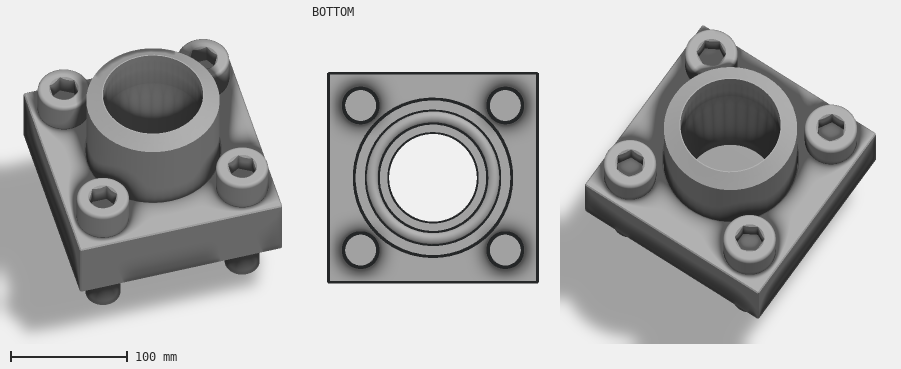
import cadquery as cq
import math

PLATE_SIDE = 180.0
PLATE_THICKNESS = 58.0
PLATE_CHAMFER = 1.0
PLATE_BORE_DIAMETER = 115.5
PLATE_BORE_CHAMFER = 1.0
RECESS_DIAMETER = 136.0
BOLT_HOLE_DIAMETER = 31.0

BOLT_SPACING = 123.8
BOLT_LENGTH = 100.0
SHANK_DIAMETER = 30.0
SHANK_CHAMFER = 1.0
HEAD_DIAMETER = 45.0
HEAD_HEIGHT = SHANK_DIAMETER
HEAD_FILLET = 3.0
SOCKET_ACROSS_CORNERS = 25.4
SOCKET_ACROSS_FLATS = SOCKET_ACROSS_CORNERS * math.cos(math.radians(30))
SOCKET_DEPTH = 18.0

HUB_DIAMETER = 114.3
COLLAR_DIAMETER = 135.0
COLLAR_DEPTH_IN_PLATE = 27.0
COLLAR_PROJECTION = 2.0
COLLAR_CHAMFER = 0.5
HUB_TOP = 175.0
WELD_BEVEL_WIDTH = 13.3
WELD_BEVEL_ANGLE = 30.0
BORE_DIAMETER = 85.9
STRAIGHT_BORE_DEPTH = 37.8
THROAT_DIAMETER = 76.5

RING_CENTRE_DIAMETER = 104.2
RING_THICKNESS = 10.8
RING_PROJECTION = 1.8
GROOVE_INNER_DIAMETER = 92.5
GROOVE_OUTER_DIAMETER = 115.5

PLATE_TOP = BOLT_LENGTH
PLATE_BOTTOM = PLATE_TOP - PLATE_THICKNESS
RECESS_TOP = PLATE_BOTTOM + COLLAR_DEPTH_IN_PLATE
HUB_BOTTOM = PLATE_BOTTOM - COLLAR_PROJECTION
RING_BOTTOM = HUB_BOTTOM - RING_PROJECTION
GROOVE_TOP = RING_BOTTOM + RING_THICKNESS

BOLT_CIRCLE_RADIUS = BOLT_SPACING / math.sqrt(2)
BOLT_ANGLES = (45, 135, 225, 315)


def cylinder(diameter, bottom, top):
    """Upright cylinder on the Z axis between two heights."""
    return cq.Workplane("XY").workplane(offset=bottom).circle(diameter / 2).extrude(top - bottom)


def make_plate():
    """Square plate with a stepped central bore and four bolt holes."""
    plate = (
        cq.Workplane("XY")
        .workplane(offset=PLATE_BOTTOM)
        .rect(PLATE_SIDE, PLATE_SIDE)
        .extrude(PLATE_THICKNESS)
        .edges()
        .chamfer(PLATE_CHAMFER)
    )
    plate = plate.cut(cylinder(RECESS_DIAMETER, PLATE_BOTTOM, RECESS_TOP))
    plate = plate.cut(cylinder(PLATE_BORE_DIAMETER, RECESS_TOP, PLATE_TOP))
    plate = plate.faces(">Z").edges("%CIRCLE").chamfer(PLATE_BORE_CHAMFER)
    bolt_holes = (
        cq.Workplane("XY")
        .workplane(offset=PLATE_BOTTOM)
        .rect(BOLT_SPACING, BOLT_SPACING, forConstruction=True)
        .vertices()
        .circle(BOLT_HOLE_DIAMETER / 2)
        .extrude(PLATE_THICKNESS)
    )
    return plate.cut(bolt_holes)


def make_hub():
    """Welding neck with a bevelled top, a bore that tapers to the throat, a collar and a ring groove."""
    bevel_height = WELD_BEVEL_WIDTH * math.tan(math.radians(WELD_BEVEL_ANGLE))
    profile = [
        (THROAT_DIAMETER / 2, HUB_BOTTOM),
        (GROOVE_INNER_DIAMETER / 2, HUB_BOTTOM),
        (GROOVE_INNER_DIAMETER / 2, GROOVE_TOP),
        (GROOVE_OUTER_DIAMETER / 2, GROOVE_TOP),
        (GROOVE_OUTER_DIAMETER / 2, HUB_BOTTOM),
        (COLLAR_DIAMETER / 2 - COLLAR_CHAMFER, HUB_BOTTOM),
        (COLLAR_DIAMETER / 2, HUB_BOTTOM + COLLAR_CHAMFER),
        (COLLAR_DIAMETER / 2, RECESS_TOP),
        (HUB_DIAMETER / 2, RECESS_TOP),
        (HUB_DIAMETER / 2, HUB_TOP - bevel_height),
        (HUB_DIAMETER / 2 - WELD_BEVEL_WIDTH, HUB_TOP),
        (BORE_DIAMETER / 2, HUB_TOP),
        (BORE_DIAMETER / 2, HUB_TOP - STRAIGHT_BORE_DEPTH),
    ]
    return cq.Workplane("XZ").polyline(profile).close().revolve(360, (0, 0), (0, 1))


def make_ring():
    """Round-section sealing ring resting against the top of its groove."""
    return (
        cq.Workplane("XZ")
        .center(RING_CENTRE_DIAMETER / 2, RING_BOTTOM + RING_THICKNESS / 2)
        .circle(RING_THICKNESS / 2)
        .revolve(360, (-RING_CENTRE_DIAMETER / 2, 0), (-RING_CENTRE_DIAMETER / 2, 1))
    )


def make_bolt(angle):
    """Socket head bolt at one angle of the bolt circle."""
    head_top = PLATE_TOP + HEAD_HEIGHT
    shank = cylinder(SHANK_DIAMETER, 0, PLATE_TOP).faces("<Z").chamfer(SHANK_CHAMFER)
    head = cylinder(HEAD_DIAMETER, PLATE_TOP, head_top).edges().fillet(HEAD_FILLET)
    socket = (
        cq.Workplane("XY")
        .workplane(offset=head_top - SOCKET_DEPTH)
        .polygon(6, SOCKET_ACROSS_CORNERS)
        .extrude(SOCKET_DEPTH)
    )
    rim_radius = SOCKET_ACROSS_CORNERS / 2
    flat_radius = SOCKET_ACROSS_FLATS / 2
    countersink_depth = rim_radius - flat_radius
    countersink = cq.Solid.makeCone(
        flat_radius,
        rim_radius,
        countersink_depth,
        cq.Vector(0, 0, head_top - countersink_depth),
    )
    bolt = head.union(shank).cut(socket).cut(countersink)
    return (
        bolt.rotate((0, 0, 0), (0, 0, 1), -45)
        .translate((BOLT_CIRCLE_RADIUS, 0, 0))
        .rotate((0, 0, 0), (0, 0, 1), angle)
    )


plate = make_plate()
hub = make_hub()
ring = make_ring()
bolts = [make_bolt(angle) for angle in BOLT_ANGLES]

result = cq.Compound.makeCompound([plate.val(), hub.val(), ring.val(), *[bolt.val() for bolt in bolts]])